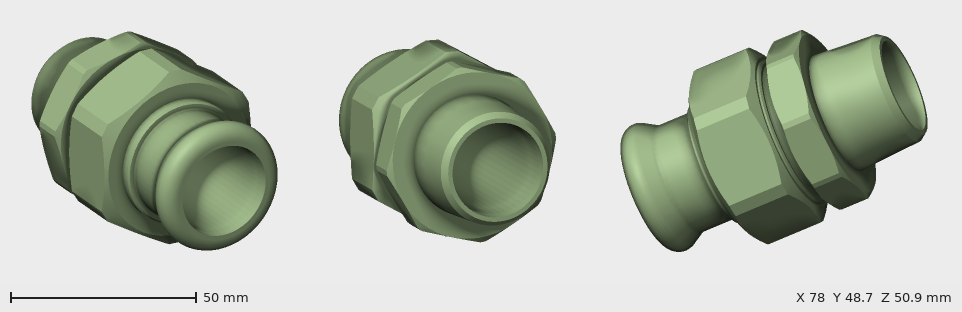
import cadquery as cq
import math

overall_length = 78.0
bore_radius = 13.0
hex_chamfer_angle = 60.0

taper_tip_radius = 14.3
taper_start_x = 1.95
taper_start_radius = 15.7
taper_end_radius = 16.85
octagon_start_x = 20.05
octagon_end_x = 30.0
octagon_sides = 8
octagon_apothem = 22.9
octagon_corner_radius = 24.5
octagon_turn = 8.0
spigot_radius = 18.95
spigot_root_fillet = 0.3
spigot_end_x = 44.45

nut_start_x = 33.9
nut_end_x = 53.9
nut_sides = 6
nut_apothem = 23.0
nut_across_corners = 50.9
nut_corner_radius = nut_across_corners / 2
nut_turn = 90.0
nut_front_face_radius = 21.85
nut_rear_face_radius = 22.1

ring_start_x = 32.5
ring_lip_x = 32.9
ring_lip_radius = 19.3
ring_step_radius = 20.2
ring_shoulder_x = 33.4
ring_outer_radius = 20.9
ring_seat_depth = 1.55
ring_end_x = nut_start_x + ring_seat_depth

flange_end_x = 48.35
collar_radius = 17.6
collar_end_x = 56.95
collar_chamfer = 0.5
tube_radius = 15.6
tube_root_fillet = 0.5
bead_arc_radius = 4.05
bead_arc_radial = 14.4
bead_cone_angle = 30.0
bead_blend_radius = 1.7


def revolve_about_x(profile):
    """Revolve a closed XY profile a full turn about the X axis."""
    return profile.close().revolve(360, (0, 0, 0), (1, 0, 0))


def prism(sides, apothem, start_x, end_x, corner_angle):
    """Regular prism along X; corner_angle turns one corner from +Y toward +Z."""
    diameter = 2 * apothem / math.cos(math.pi / sides)
    blank = cq.Workplane("YZ", origin=(start_x, 0, 0)).polygon(sides, diameter).extrude(end_x - start_x)
    return blank.rotate((0, 0, 0), (1, 0, 0), corner_angle)


def wrench_body(sides, apothem, corner_radius, start_x, end_x, corner_angle, front_radius, rear_radius):
    """Prism with flattened corners and a conical chamfer on each end."""
    flats = prism(sides, apothem, start_x, end_x, corner_angle)
    corner_flats = prism(sides, corner_radius, start_x, end_x, corner_angle + 180 / sides)
    blank_radius = corner_radius / math.cos(math.pi / sides)
    slope = math.tan(math.radians(hex_chamfer_angle))
    chamfer_cones = revolve_about_x(
        cq.Workplane("XY")
        .moveTo(start_x, 0)
        .lineTo(start_x, front_radius)
        .lineTo(start_x + (blank_radius - front_radius) / slope, blank_radius)
        .lineTo(end_x - (blank_radius - rear_radius) / slope, blank_radius)
        .lineTo(end_x, rear_radius)
        .lineTo(end_x, 0)
    )
    return flats.intersect(corner_flats).intersect(chamfer_cones)


def cylinder(radius, start_x, end_x):
    return cq.Workplane("YZ", origin=(start_x, 0, 0)).circle(radius).extrude(end_x - start_x)


def make_adapter():
    tapered_end = revolve_about_x(
        cq.Workplane("XY")
        .lineTo(0, taper_tip_radius)
        .lineTo(taper_start_x, taper_start_radius)
        .lineTo(octagon_start_x, taper_end_radius)
        .lineTo(octagon_start_x, 0)
    )
    octagon = wrench_body(
        octagon_sides, octagon_apothem, octagon_corner_radius,
        octagon_start_x, octagon_end_x, -octagon_turn, octagon_apothem, octagon_apothem,
    )
    fillet_side = spigot_root_fillet * (1 - math.sqrt(0.5))
    spigot = revolve_about_x(
        cq.Workplane("XY")
        .moveTo(octagon_end_x, 0)
        .lineTo(octagon_end_x, spigot_radius + spigot_root_fillet)
        .threePointArc(
            (octagon_end_x + fillet_side, spigot_radius + fillet_side),
            (octagon_end_x + spigot_root_fillet, spigot_radius),
        )
        .lineTo(spigot_end_x, spigot_radius)
        .lineTo(spigot_end_x, 0)
    )
    return tapered_end.union(octagon).union(spigot).cut(cylinder(bore_radius, 0, spigot_end_x))


def make_nut():
    body = wrench_body(
        nut_sides, nut_apothem, nut_corner_radius,
        nut_start_x, nut_end_x, nut_turn, nut_front_face_radius, nut_rear_face_radius,
    )
    ring_seat = cylinder(ring_outer_radius, nut_start_x, ring_end_x)
    main_bore = cylinder(spigot_radius, nut_start_x, flange_end_x)
    rear_hole = cylinder(collar_radius, flange_end_x, nut_end_x)
    return body.cut(ring_seat).cut(main_bore).cut(rear_hole)


def make_retaining_ring():
    return revolve_about_x(
        cq.Workplane("XY")
        .moveTo(ring_start_x, spigot_radius)
        .lineTo(ring_lip_x, ring_lip_radius)
        .lineTo(ring_lip_x, ring_step_radius)
        .lineTo(ring_shoulder_x, ring_outer_radius)
        .lineTo(ring_end_x, ring_outer_radius)
        .lineTo(ring_end_x, spigot_radius)
    )


def make_press_tube():
    cone = math.radians(bead_cone_angle)
    bead_x = overall_length - bead_arc_radius
    bead_start_x = bead_x - bead_arc_radius * math.sin(cone)
    bead_start_radius = bead_arc_radial + bead_arc_radius * math.cos(cone)
    cone_foot_x = bead_start_x - (bead_start_radius - tube_radius) / math.tan(cone)

    blend_length = bead_blend_radius * math.tan(cone / 2)
    blend_start_x = cone_foot_x - blend_length
    blend_mid = (
        blend_start_x + bead_blend_radius * math.sin(cone / 2),
        tube_radius + bead_blend_radius * (1 - math.cos(cone / 2)),
    )
    blend_end = (
        cone_foot_x + blend_length * math.cos(cone),
        tube_radius + blend_length * math.sin(cone),
    )
    root_side = tube_root_fillet * (1 - math.sqrt(0.5))
    return revolve_about_x(
        cq.Workplane("XY")
        .moveTo(spigot_end_x, bore_radius)
        .lineTo(spigot_end_x, spigot_radius)
        .lineTo(flange_end_x, spigot_radius)
        .lineTo(flange_end_x, collar_radius)
        .lineTo(collar_end_x - collar_chamfer, collar_radius)
        .lineTo(collar_end_x, collar_radius - collar_chamfer)
        .lineTo(collar_end_x, tube_radius + tube_root_fillet)
        .threePointArc(
            (collar_end_x + root_side, tube_radius + root_side),
            (collar_end_x + tube_root_fillet, tube_radius),
        )
        .lineTo(blend_start_x, tube_radius)
        .threePointArc(blend_mid, blend_end)
        .lineTo(bead_start_x, bead_start_radius)
        .threePointArc(
            (bead_x, bead_arc_radial + bead_arc_radius),
            (overall_length, bead_arc_radial),
        )
        .lineTo(overall_length, bore_radius)
    )


adapter = make_adapter()
nut = make_nut()
retaining_ring = make_retaining_ring()
press_tube = make_press_tube()

result = cq.Compound.makeCompound([
    adapter.val(),
    nut.val(),
    retaining_ring.val(),
    press_tube.val(),
])